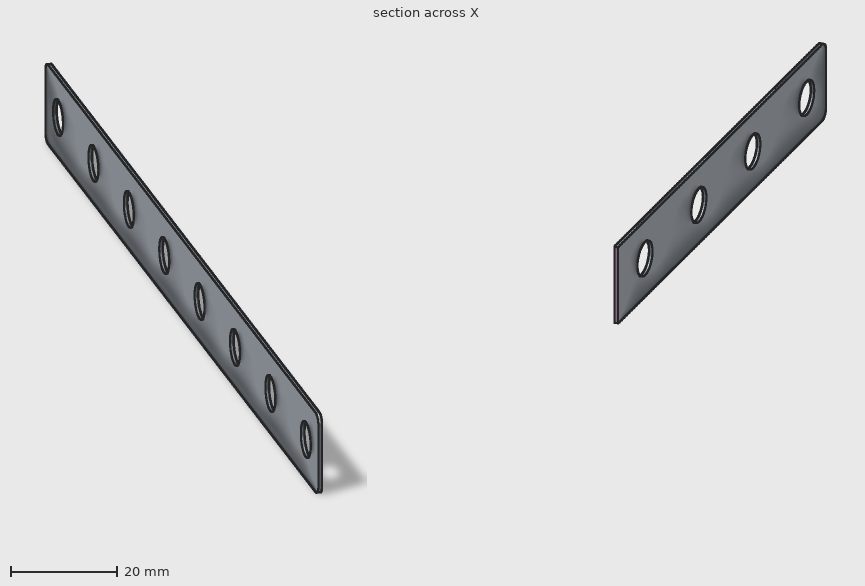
import cadquery as cq

length = 193.0
height = 16.0
thickness = 0.75
corner_radius = 2.0

hole_count = 8
hole_diameter = 7.0
hole_row_span = 175.0
hole_pitch = hole_row_span / (hole_count - 1)

strip = cq.Workplane("XY").box(length, thickness, height).edges("|Y").fillet(corner_radius)

result = (
    strip.faces("<Y")
    .workplane(centerOption="CenterOfBoundBox")
    .rarray(hole_pitch, 2, hole_count, 1)
    .hole(hole_diameter)
)